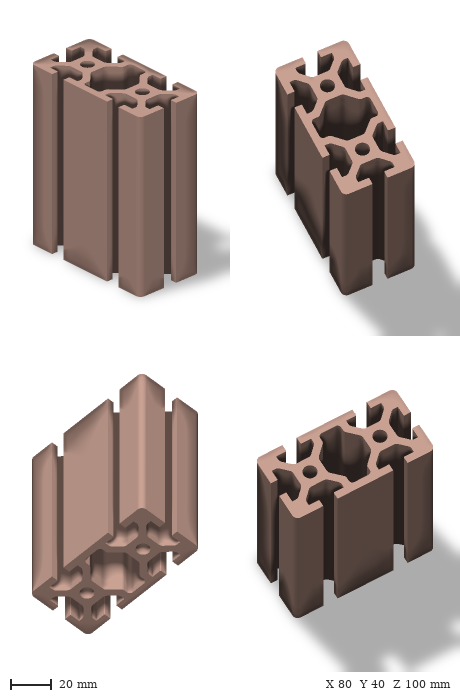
import cadquery as cq
import math

module = 40.0
width = 2 * module
height = module
length = 100.0
corner_radius = 3.0

slot_opening = 8.2
slot_inner_width = 20.0
lip_thickness = 4.0
lip_edge_radius = 0.5
slot_side_radius = 3.0
slot_floor_radius = 3.0

core_size = 15.0
core_bore = 7.4
web_thickness = 4.0

cavity_neck_width = 12.0
cavity_end_radius = 2.0
cavity_shoulder_radius = 2.0
cavity_side_radius = 3.0

half_module = module / 2
half_core = core_size / 2
web_offset = web_thickness / math.sqrt(2)
core_positions = [(-half_module, 0), (half_module, 0)]


def fillet_corners(prism, corners, radius):
    """Round the Z-parallel edges of a prism that stand at the given (x, y) corners."""
    tolerance = 0.01
    for x, y in corners:
        corner_box = cq.selectors.BoxSelector(
            (x - tolerance, y - tolerance, -length), (x + tolerance, y + tolerance, 2 * length)
        )
        prism = prism.edges(corner_box).fillet(radius)
    return prism


def mirrored(x, y):
    """Both mirror images of a point across the Y axis."""
    return [(-x, y), (x, y)]


def make_slot():
    """T-slot void opening toward +Y, with the core axis at the origin."""
    half_opening = slot_opening / 2
    half_inner = slot_inner_width / 2
    lip_y = half_module - lip_thickness
    side_y = half_inner + web_offset
    half_floor = half_core - web_offset
    right_side = [
        (half_floor, half_core),
        (half_inner, side_y),
        (half_inner, lip_y),
        (half_opening, lip_y),
        (half_opening, half_module),
    ]
    left_side = [(-x, y) for x, y in reversed(right_side)]
    slot = cq.Workplane("XY").polyline(right_side + left_side).close().extrude(length)
    slot = fillet_corners(slot, mirrored(half_floor, half_core), slot_floor_radius)
    slot = fillet_corners(slot, mirrored(half_inner, side_y), slot_side_radius)
    return fillet_corners(slot, mirrored(half_opening, lip_y), lip_edge_radius)


def make_cavity():
    """Central void between the two cores, necked toward the top and bottom walls."""
    side_x = half_module - half_core
    side_y = half_core - web_offset
    neck_x = cavity_neck_width / 2
    shoulder_y = half_module - neck_x - web_offset
    end_y = half_module - lip_thickness
    quarter = [(side_x, side_y), (neck_x, shoulder_y), (neck_x, end_y)]
    right_half = [(x, -y) for x, y in reversed(quarter)] + quarter
    left_half = [(-x, y) for x, y in reversed(right_half)]
    cavity = cq.Workplane("XY").polyline(right_half + left_half).close().extrude(length)
    radii = [cavity_side_radius, cavity_shoulder_radius, cavity_end_radius]
    for (x, y), radius in zip(quarter, radii):
        cavity = fillet_corners(cavity, mirrored(x, y) + mirrored(x, -y), radius)
    return cavity


bar = cq.Workplane("XY").rect(width, height).extrude(length).edges("|Z").fillet(corner_radius)

slot_void = make_slot()
for core_x, end_angle in [(-half_module, 90), (half_module, -90)]:
    for angle in (0, 180, end_angle):
        turned_slot = slot_void.rotate((0, 0, 0), (0, 0, 1), angle)
        bar = bar.cut(turned_slot.translate((core_x, 0, 0)))

bar = bar.cut(make_cavity())
bores = cq.Workplane("XY").pushPoints(core_positions).circle(core_bore / 2).extrude(length)

result = bar.cut(bores)